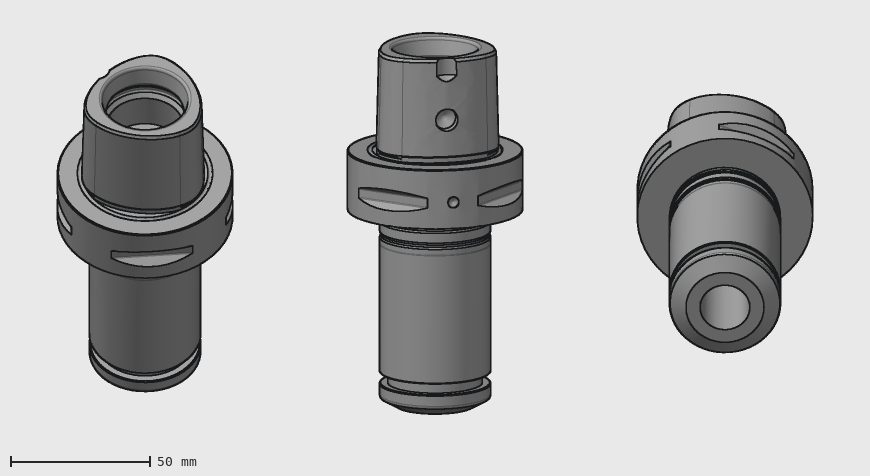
import cadquery as cq
import math

top_z = 132.0
flange_top_z = 94.1
flange_bottom_z = 72.3

overlap = 1.3

flange_radius = 63.0 / 2
flange_chamfer = 0.4

mean_radius = 22.0
lobe_rise = 1.5
taper = 1 / 40
lobe_half_angle = 27
spline_spans = 8
shank_base_z = 96.4
base_bevel = 0.1
base_bevel_height = 0.4
rim_bevel_height = 1.2
rim_bevel_width = 0.7
foot_radius = 22.6
foot_cone_z = 95.2

face_groove_radius = 24.3
face_groove_depth = 0.7

bore_radius = 17.8 / 2
bore_chamfer = 1.0
throat_radius = 27.2 / 2
throat_bottom_z = 105.6
throat_top_z = 118.4
lip_radius = 28.0 / 2
lip_top_z = 125.7
lip_bottom_z = 124.7
undercut_radius = 16.0
undercut_wall_top_z = 122.0
undercut_fillet = 0.8
undercut_floor_radius = undercut_radius - undercut_fillet
undercut_floor_z = throat_top_z + undercut_floor_radius - throat_radius
entry_radius = 15.5
rim_fillet = 1.0

keyway_radius = 5.3
keyway_back_x = -18.1
keyway_bottom_z = 125.9
keyway_tip_slope = 1.2

drill_tip_angle = 118
shank_hole_depth = 4.0
shank_hole_radius = 8.0 / 2
shank_hole_z = 109.7
flange_hole_depth = 0.5
flange_hole_radius = 4.0 / 2
flange_hole_z = 82.0

slot_z = 81.8
slot_floor_distance = 27.7
slot_floor_height = 3.4
slot_mouth_height = 7.7
slot_length = 29.3
slot_fillet = 0.4

body_radius = 40.0 / 2
seal_step = 0.07
seal_step_height = 0.3
seal_radius = body_radius - seal_step
seal_groove_depth = 0.3
seal_groove_radius = seal_radius - seal_groove_depth
seal_relief_z = 71.1
seal_relief_depth = 0.07
seal_groove_tops_z = (70.4, 64.4)
seal_groove_step = 0.8
seal_bottom_z = 60.0
neck_radius = 34.0 / 2
neck_top_z = 12.4
neck_bottom_z = 8.5
edge_chamfer = 0.4
collar_round_top_z = 4.4
collar_round_middle_radius = 19.9
collar_round_middle_z = 3.7
nose_cone_radius = 19.7
nose_cone_z = 3.2
nose_radius = 28.0 / 2


def polygon_point(radius, angle, z):
    """Point of the lobed curve whose outward normal is at the given angle."""
    t = math.radians(angle)
    support = radius + lobe_rise * math.cos(3 * t)
    slope = -3 * lobe_rise * math.sin(3 * t)
    x = support * math.cos(t) - slope * math.sin(t)
    y = support * math.sin(t) + slope * math.cos(t)
    return cq.Vector(x, y, z)


def polygon_wire(radius, z):
    """Closed lobed outline made of three lobe curves and three flank curves."""
    edges = []
    for lobe in (0, 120, 240):
        lobe_start = lobe - lobe_half_angle
        lobe_end = lobe + lobe_half_angle
        for start, end in ((lobe_start, lobe_end), (lobe_end, lobe_start + 120)):
            angles = [start + (end - start) * i / spline_spans for i in range(spline_spans + 1)]
            points = [polygon_point(radius, angle, z) for angle in angles]
            tangents = [
                cq.Vector(-math.sin(math.radians(a)), math.cos(math.radians(a)), 0)
                for a in (start, end)
            ]
            edges.append(cq.Edge.makeSpline(points, tangents))
    return cq.Wire.assembleEdges(edges)


def revolve(profile):
    """Full turn about Z of a profile drawn in the XZ plane."""
    return profile.close().revolve(360, (0, 0, 0), (0, 1, 0))


def make_shank():
    foot_z = flange_top_z - overlap
    bevel_z = top_z - rim_bevel_height
    base_radius = mean_radius - taper * (shank_base_z - flange_top_z)
    bevel_radius = mean_radius - taper * (bevel_z - flange_top_z)
    sections = [
        (base_radius - base_bevel, foot_z),
        (base_radius - base_bevel, shank_base_z - base_bevel_height),
        (base_radius, shank_base_z),
        (bevel_radius, bevel_z),
        (bevel_radius - rim_bevel_width, top_z),
    ]
    wires = [polygon_wire(radius, z) for radius, z in sections]
    shank = cq.Workplane(obj=cq.Solid.makeLoft(wires, True))

    clear_radius = mean_radius + 2 * lobe_rise
    envelope = revolve(
        cq.Workplane("XZ")
        .moveTo(0, foot_z)
        .lineTo(foot_radius, foot_z)
        .lineTo(foot_radius, foot_cone_z)
        .lineTo(clear_radius, foot_cone_z + clear_radius - foot_radius)
        .lineTo(clear_radius, top_z)
        .lineTo(0, top_z)
    )
    return shank.intersect(envelope)


def make_body():
    profile = (
        cq.Workplane("XZ")
        .moveTo(0, 0)
        .lineTo(nose_radius, 0)
        .lineTo(nose_cone_radius, nose_cone_z)
        .threePointArc(
            (collar_round_middle_radius, collar_round_middle_z),
            (body_radius, collar_round_top_z),
        )
        .lineTo(body_radius, neck_bottom_z - edge_chamfer)
        .lineTo(body_radius - edge_chamfer, neck_bottom_z)
        .lineTo(neck_radius, neck_bottom_z)
        .lineTo(neck_radius, neck_top_z)
        .lineTo(body_radius - edge_chamfer, neck_top_z)
        .lineTo(body_radius, neck_top_z + edge_chamfer)
        .lineTo(body_radius, seal_bottom_z - seal_step_height)
        .lineTo(seal_radius, seal_bottom_z)
    )
    for groove_top_z in reversed(seal_groove_tops_z):
        profile = (
            profile.lineTo(seal_radius, groove_top_z - 3 * seal_groove_step)
            .lineTo(seal_groove_radius, groove_top_z - 2 * seal_groove_step)
            .lineTo(seal_groove_radius, groove_top_z - seal_groove_step)
            .lineTo(seal_radius, groove_top_z)
        )
    groove_middle = (foot_radius + face_groove_radius) / 2
    profile = (
        profile.lineTo(seal_radius, seal_relief_z)
        .lineTo(seal_radius - seal_relief_depth, flange_bottom_z)
        .lineTo(flange_radius, flange_bottom_z)
        .lineTo(flange_radius, flange_top_z - flange_chamfer)
        .lineTo(flange_radius - flange_chamfer, flange_top_z)
        .lineTo(face_groove_radius, flange_top_z)
        .threePointArc(
            (groove_middle, flange_top_z - face_groove_depth),
            (foot_radius, flange_top_z),
        )
        .lineTo(0, flange_top_z)
    )
    return revolve(profile)


def make_bore():
    arc_inset = 1 - math.sqrt(0.5)
    return revolve(
        cq.Workplane("XZ")
        .moveTo(0, 0)
        .lineTo(bore_radius, 0)
        .lineTo(bore_radius, throat_bottom_z - bore_chamfer)
        .lineTo(bore_radius + bore_chamfer, throat_bottom_z)
        .lineTo(throat_radius, throat_bottom_z)
        .lineTo(throat_radius, throat_top_z)
        .lineTo(undercut_floor_radius, undercut_floor_z)
        .threePointArc(
            (
                undercut_radius - arc_inset * undercut_fillet,
                undercut_floor_z + arc_inset * undercut_fillet,
            ),
            (undercut_radius, undercut_floor_z + undercut_fillet),
        )
        .lineTo(undercut_radius, undercut_wall_top_z)
        .lineTo(lip_radius, lip_bottom_z)
        .lineTo(lip_radius, lip_top_z)
        .lineTo(entry_radius, top_z - rim_fillet)
        .threePointArc(
            (entry_radius + arc_inset * rim_fillet, top_z - arc_inset * rim_fillet),
            (entry_radius + rim_fillet, top_z),
        )
        .lineTo(0, top_z)
    )


def make_keyway():
    tip_depth = keyway_tip_slope * keyway_radius
    cutter = revolve(
        cq.Workplane("XZ")
        .moveTo(0, keyway_bottom_z - tip_depth)
        .lineTo(keyway_radius, keyway_bottom_z)
        .lineTo(keyway_radius, top_z)
        .lineTo(0, top_z)
    )
    return cutter.translate((keyway_back_x - keyway_radius, 0, 0))


def make_drilled_hole(surface_x, radius, depth, z):
    """Blind hole along +X whose straight part has the given depth below the surface."""
    tip_depth = radius / math.tan(math.radians(drill_tip_angle / 2))
    start = cq.Vector(surface_x - overlap, 0, z)
    along_x = cq.Vector(1, 0, 0)
    wall = cq.Solid.makeCylinder(radius, overlap + depth, start, along_x)
    tip_base = cq.Vector(surface_x + depth, 0, z)
    tip = cq.Solid.makeCone(radius, 0, tip_depth, tip_base, along_x)
    return cq.Workplane(obj=wall).union(cq.Workplane(obj=tip))


def make_slot(angle):
    """Straight slot with sloping sides across the flange at the given angle."""
    slope = (slot_mouth_height - slot_floor_height) / (flange_radius - slot_floor_distance)
    outer_x = flange_radius + overlap
    half_floor = slot_floor_height / 2
    half_mouth = half_floor + slope * (outer_x - slot_floor_distance) / 2
    return (
        cq.Workplane("XZ")
        .moveTo(slot_floor_distance, slot_z - half_floor)
        .lineTo(outer_x, slot_z - half_mouth)
        .lineTo(outer_x, slot_z + half_mouth)
        .lineTo(slot_floor_distance, slot_z + half_floor)
        .close()
        .extrude(slot_length / 2, both=True)
        .faces("<X")
        .edges("|Y")
        .fillet(slot_fillet)
        .rotate((0, 0, 0), (0, 0, 1), angle)
    )


shank_flank_x = mean_radius - taper * (shank_hole_z - flange_top_z) - lobe_rise
shank_hole = make_drilled_hole(-shank_flank_x, shank_hole_radius, shank_hole_depth, shank_hole_z)
flange_hole = make_drilled_hole(-flange_radius, flange_hole_radius, flange_hole_depth, flange_hole_z)

result = make_body().union(make_shank())
result = result.cut(make_bore()).cut(make_keyway())
result = result.cut(shank_hole).cut(flange_hole)
for slot_angle in (45, 135, 225, 315):
    result = result.cut(make_slot(slot_angle))